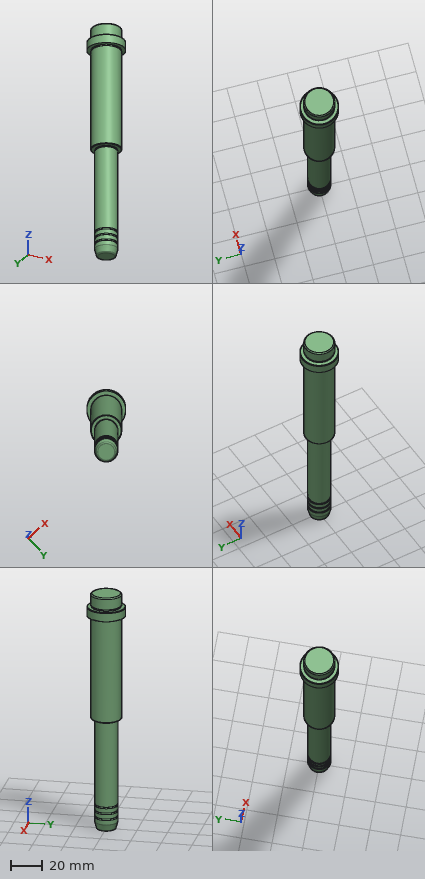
import cadquery as cq
import math

collar_diameter = 25.0
body_diameter = 20.0
stem_diameter = 15.0

total_length = 160.0
collar_top = 151.0
collar_bottom = 145.0
body_bottom = 75.0
taper_height = 5.0
first_groove_height = 8.5

edge_chamfer = 0.5
head_chamfer = 0.8
tip_rounding = 1.0
taper_angle = 15.0

relief_width = 1.0
relief_depth = 0.5
lower_relief_depth = 0.2
stem_groove_radius = 0.5
stem_groove_spacing = 4.0
stem_groove_count = 3


def cylinder(diameter, bottom, top):
    """Solid cylinder on the Z axis between two heights."""
    return cq.Workplane("XY").workplane(offset=bottom).circle(diameter / 2).extrude(top - bottom)


def groove(diameter, bottom, width, depth):
    """Ring that cuts a square groove into a cylinder of the given diameter."""
    ring = cylinder(diameter, bottom, bottom + width)
    return ring.cut(cylinder(diameter - 2 * depth, bottom, bottom + width))


body = cylinder(body_diameter, body_bottom, total_length)
body = body.faces(">Z").edges().chamfer(head_chamfer)
body = body.faces("<Z").edges().chamfer(edge_chamfer)
body = body.cut(groove(body_diameter, collar_top, relief_width, relief_depth))
body = body.cut(groove(body_diameter, collar_bottom - relief_width, relief_width, lower_relief_depth))

collar = cylinder(collar_diameter, collar_bottom, collar_top)
collar = collar.faces(">Z").edges().chamfer(edge_chamfer)

tip_diameter = stem_diameter - 2 * taper_height * math.tan(math.radians(taper_angle))
tip = (
    cq.Workplane("XY")
    .circle(tip_diameter / 2)
    .workplane(offset=taper_height)
    .circle(stem_diameter / 2)
    .loft(ruled=True)
    .faces("<Z")
    .edges()
    .fillet(tip_rounding)
)

stem = cylinder(stem_diameter, taper_height, body_bottom)
stem = stem.cut(groove(stem_diameter, body_bottom - relief_width, relief_width, relief_depth))
for index in range(stem_groove_count):
    groove_height = first_groove_height + index * stem_groove_spacing
    round_ring = cq.Solid.makeTorus(stem_diameter / 2, stem_groove_radius, cq.Vector(0, 0, groove_height))
    stem = stem.cut(cq.Workplane(round_ring))

result = body.union(collar).union(stem).union(tip)